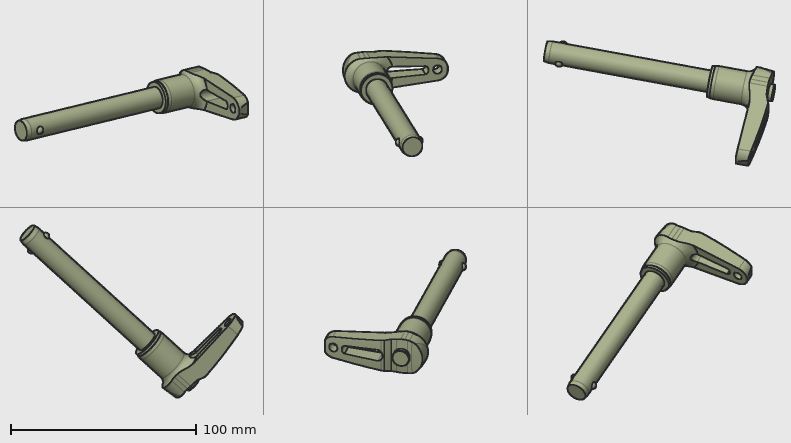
import cadquery as cq
import math


total_length = 125.7
shaft_radius = 6.0
shaft_tip_radius = 5.5
shaft_tip_length = 2.7
ball_radius = 2.2
ball_reach = 7.5
ball_from_tip = 8.5

barrel_radius = 9.15
barrel_end_y = -31.6
taper_end_radius = 8.95
taper_end_y = -33.5
collar_radius = 8.7
collar_end_y = -35.1
flare_top_y = -11.1
flare_radius = 5.1

button_radius = 4.65
button_top_radius = 4.5
button_edge_height = 0.4

handle_length = 57.1
head_reach = 12.58
head_half_width = 20.21 / 2
head_flat_start_x = -1.3
head_flat_end_x = 1.0
head_arc_x = -4.0
head_arc_half_width = 9.85
tip_arc_x = 39.0
tip_half_width = 6.35
tip_x = handle_length - head_reach
outline_depth = -barrel_end_y

underside_head_y = -10.1
underside_tip_y = -12.2
tip_chamfer_length = 1.2
tip_chamfer_height = 0.3
tip_top_x = 43.5
tip_top_y = -5.3
arm_mid_top = (26.5, -2.3)
hump_start = (9.3, -0.75)
hump_end = (11.3, -0.6)
crown_radius = 90.0
valley_y = -2.5
valley_start_x = -3.0
valley_end_x = 3.0
valley_rise = (5.8, -2.3)
head_top_y = -2.0
head_top_end_x = -5.5

relief_axis_x = -0.75
relief_lean = 0.95
relief_limit_x = -2.0

slot_start_x = 10.2
slot_start_arc_x = 13.0
slot_start_half_width = 3.25
slot_end_x = 33.7
slot_end_arc_x = 32.0
slot_end_half_width = 2.35
lanyard_hole_x = 38.6
lanyard_hole_radius = 2.4


def handle_outline():
    """Pear-shaped outline of the handle, deep enough to hold the head, arm and flare."""
    return (
        cq.Workplane("XZ")
        .moveTo(head_flat_end_x, head_half_width)
        .lineTo(tip_arc_x, tip_half_width)
        .threePointArc((tip_x, 0), (tip_arc_x, -tip_half_width))
        .lineTo(head_flat_end_x, -head_half_width)
        .lineTo(head_flat_start_x, -head_half_width)
        .lineTo(head_arc_x, -head_arc_half_width)
        .threePointArc((-head_reach, 0), (head_arc_x, head_arc_half_width))
        .lineTo(head_flat_start_x, head_half_width)
        .close()
        .extrude(outline_depth)
    )


def top_edge(outline):
    """Continue an outline from the arm tip along the top of the handle to its rear end."""
    return (
        outline
        .threePointArc(arm_mid_top, hump_end)
        .lineTo(*hump_start)
        .lineTo(*valley_rise)
        .lineTo(valley_end_x, valley_y)
        .lineTo(valley_start_x, valley_y)
        .lineTo(head_top_end_x, head_top_y)
        .lineTo(-head_reach, head_top_y)
    )


def handle_profile():
    """Side shape of the handle, with its top crowned about an axis parallel to X."""
    outline = (
        cq.Workplane("XY")
        .moveTo(-head_reach, underside_head_y)
        .lineTo(tip_x - tip_chamfer_length, underside_tip_y)
        .lineTo(tip_x, underside_tip_y + tip_chamfer_height)
        .lineTo(tip_top_x, tip_top_y)
    )
    profile = top_edge(outline).close().extrude(head_half_width, both=True)
    crown = (
        top_edge(cq.Workplane("XY").moveTo(tip_top_x, tip_top_y))
        .lineTo(-head_reach, -crown_radius)
        .lineTo(tip_x, -crown_radius)
        .lineTo(tip_x, tip_top_y)
        .close()
        .revolve(360, (0, -crown_radius, 0), (1, -crown_radius, 0))
    )
    return profile.intersect(crown)


def flare():
    """Concave round from the barrel up to the underside of the handle."""
    outer_radius = barrel_radius + flare_radius
    lower_y = flare_top_y - flare_radius
    middle = flare_radius * (1 - math.cos(math.pi / 4))
    return (
        cq.Workplane("XY")
        .moveTo(0, lower_y)
        .lineTo(barrel_radius, lower_y)
        .threePointArc((barrel_radius + middle, flare_top_y - middle), (outer_radius, flare_top_y))
        .lineTo(outer_radius, underside_head_y)
        .lineTo(0, underside_head_y)
        .close()
        .revolve(360, (0, 0, 0), (0, 1, 0))
    )


def relief_envelope():
    """Cone that trims the rear of the head, joined to a block that leaves the rest whole."""
    low_radius = relief_axis_x + head_reach
    top_radius = low_radius - relief_lean
    cone = (
        cq.Workplane("XY")
        .polyline([
            (0, -outline_depth),
            (low_radius, -outline_depth),
            (low_radius, flare_top_y),
            (top_radius, head_top_y),
            (0, head_top_y),
        ])
        .close()
        .revolve(360, (0, 0, 0), (0, 1, 0))
        .translate((relief_axis_x, 0, 0))
    )
    block = (
        cq.Workplane("XY")
        .moveTo(relief_limit_x, 0)
        .lineTo(tip_x, 0)
        .lineTo(tip_x, -outline_depth)
        .lineTo(relief_limit_x, -outline_depth)
        .close()
        .extrude(head_half_width, both=True)
    )
    return cone.union(block)


def arm_openings():
    """Tapered slot and lanyard hole, both through the arm along Y."""
    slot = (
        cq.Workplane("XZ")
        .moveTo(slot_start_arc_x, slot_start_half_width)
        .lineTo(slot_end_arc_x, slot_end_half_width)
        .threePointArc((slot_end_x, 0), (slot_end_arc_x, -slot_end_half_width))
        .lineTo(slot_start_arc_x, -slot_start_half_width)
        .threePointArc((slot_start_x, 0), (slot_start_arc_x, slot_start_half_width))
        .close()
        .extrude(outline_depth)
    )
    lanyard_hole = (
        cq.Workplane("XZ")
        .center(lanyard_hole_x, 0)
        .circle(lanyard_hole_radius)
        .extrude(outline_depth)
    )
    return slot.union(lanyard_hole)


def handle():
    """Lever handle: profile and flare trimmed to the outline, then opened."""
    body = handle_profile().union(flare())
    body = body.intersect(handle_outline()).intersect(relief_envelope())
    return body.cut(arm_openings())


def pin():
    """Button, barrel, collar and shaft as one turned body."""
    return (
        cq.Workplane("XY")
        .polyline([
            (0, 0),
            (button_top_radius, 0),
            (button_radius, -button_edge_height),
            (button_radius, flare_top_y),
            (barrel_radius, flare_top_y),
            (barrel_radius, barrel_end_y),
            (taper_end_radius, taper_end_y),
            (collar_radius, taper_end_y),
            (collar_radius, collar_end_y),
            (shaft_radius, collar_end_y),
            (shaft_radius, shaft_tip_length - total_length),
            (shaft_tip_radius, -total_length),
            (0, -total_length),
        ])
        .close()
        .revolve(360, (0, 0, 0), (0, 1, 0))
    )


def locking_balls():
    """Two balls protruding from opposite sides of the shaft."""
    center_x = ball_reach - ball_radius
    centers = [(side * center_x, ball_from_tip - total_length) for side in (-1, 1)]
    return cq.Workplane("XY").pushPoints(centers).sphere(ball_radius)


result = pin().union(handle()).union(locking_balls())